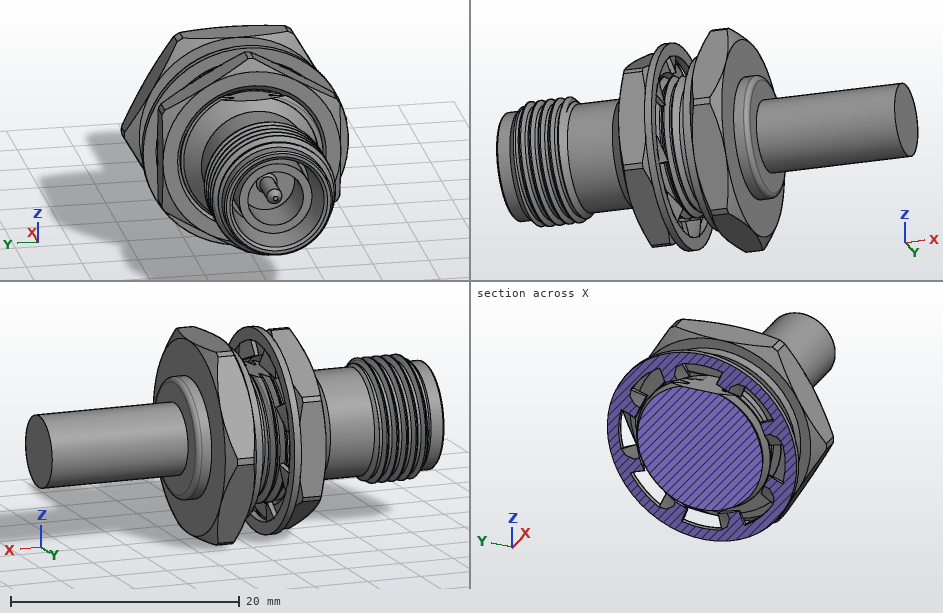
import cadquery as cq
import math


THREAD_PITCH = 0.907
THREAD_CREST = THREAD_PITCH / 8
FLANK_ANGLE = 30
CUTTER_MARGIN = 0.05
GROOVE_RUNOUT = 0.4

BARREL_R = 9.65 / 2
RIM_CHAMFER = 0.15
MATING_THREAD_START = 1.28
MATING_THREAD_END = 6.6
MATING_THREAD_R = 11.1 / 2
MATING_ROOT_R = 5.1
MATING_THREAD_PHASE = 2.24
PANEL_CONE_START = 10.75
PANEL_THREAD_R = 12.7 / 2
PANEL_ROOT_R = 5.8
PANEL_THREAD_PHASE = 12.12
RELIEF_START = 17.22
RELIEF_R = 11.26 / 2
SEAT_START = 18.15
FLANGE_START = 18.25
FLANGE_R = 15.55 / 2
HEX_START = 19.25
HEX_END = 22.17
HEX_FLATS = 17.46
HEX_CORNERS = 19.82
HEX_CHAMFER = 0.7
COLLAR_END = 23.54
COLLAR_R = 10.89 / 2
COLLAR_FILLET = 0.45
TUBE_R = 6.48 / 2
TOTAL_LENGTH = 36.32
PANEL_FLAT_HEIGHT = 5.58

MOUTH_EDGE_R = 8.75 / 2
MOUTH_R = 8.2 / 2
MOUTH_CHAMFER = 0.2
SOCKET_FLOOR_R = 7.24 / 2
SOCKET_DEPTH = 5.0
SLEEVE_R = 6.48 / 2
SLEEVE_BORE_R = 4.95 / 2
SLEEVE_TIP = 1.4

INSULATOR_START = 5.5
INSULATOR_END = 10.0
PIN_R = 1.35 / 2
PIN_SHOULDER_R = 1.85 / 2
PIN_TIP_R = 0.2
PIN_TIP = 1.4
PIN_TAPER = 0.6
PIN_SHOULDER_CHAMFER = PIN_SHOULDER_R - PIN_R

NUT_START = 12.36
NUT_END = 15.0
NUT_FLATS = 15.88
NUT_CORNERS = 18.06
NUT_CHAMFER = 0.45
NUT_MOUTH_R = 13.28 / 2
NUT_MOUTH_CHAMFER = NUT_MOUTH_R - PANEL_ROOT_R

WASHER_START = 15.17
WASHER_THICKNESS = 0.64
WASHER_R = 18.34 / 2
WASHER_RING_R = 16.05 / 2
TOOTH_TIP_R = 13.01 / 2
TOOTH_COUNT = 8
TOOTH_WIDTH = 2.4
TOOTH_THICKNESS = 0.45
TOOTH_TWIST = 18
TOOTH_OFFSET = 0.12
TOOTH_ROOT_OVERLAP = 0.4


def turned(points):
    """Revolve a closed (x, radius) outline around the X axis."""
    return cq.Workplane("XY").polyline(points).close().revolve(360, (0, 0, 0), (1, 0, 0))


def rod(radius, start, end):
    """Round bar along X."""
    return cq.Workplane("YZ").workplane(offset=start).circle(radius).extrude(end - start)


def thread_groove(root_radius, outer_radius, length):
    """Right-hand V groove around X, starting at X = 0 over -Z."""
    top_radius = outer_radius + CUTTER_MARGIN
    flank_slope = math.tan(math.radians(FLANK_ANGLE))
    half_width = (THREAD_PITCH - THREAD_CREST) / 2
    half_top = half_width + CUTTER_MARGIN * flank_slope
    half_root = half_width - (outer_radius - root_radius) * flank_slope
    helix = cq.Wire.makeHelix(THREAD_PITCH, length, root_radius)
    groove = (
        cq.Workplane("XZ")
        .polyline([
            (root_radius, -half_root),
            (top_radius, -half_top),
            (top_radius, half_top),
            (root_radius, half_root),
        ])
        .close()
        .sweep(cq.Workplane(obj=helix), isFrenet=True)
    )
    return groove.rotate((0, 0, 0), (0, 1, 0), 90)


def threaded_rod(root_radius, outer_radius, crest_position, start, end):
    """Plain-ended threaded bar along X; a thread crest passes over +Z at X = crest_position."""
    blank = rod(outer_radius, start, end)
    groove_start = start - GROOVE_RUNOUT
    groove = thread_groove(root_radius, outer_radius, end - start + 2 * GROOVE_RUNOUT)
    crest_turn = 360 * (groove_start - crest_position) / THREAD_PITCH
    return blank.cut(groove.translate((groove_start, 0, 0))).rotate((0, 0, 0), (1, 0, 0), crest_turn)


def hexagon(flats, corners, start, end, chamfer, corner_angle):
    """Hexagonal prism along X with clipped corners and both ends coned down to the flats."""
    prism = (
        cq.Workplane("YZ").workplane(offset=start)
        .polygon(6, flats / math.cos(math.pi / 6)).extrude(end - start)
        .rotate((0, 0, 0), (1, 0, 0), corner_angle)
    )
    envelope = turned([
        (start, 0),
        (start, flats / 2),
        (start + chamfer, corners / 2),
        (end - chamfer, corners / 2),
        (end, flats / 2),
        (end, 0),
    ])
    return prism.intersect(envelope)


def mating_section():
    """Front barrel with the coupling thread, whose ends are chamfered."""
    rise = MATING_THREAD_R - BARREL_R
    thread = threaded_rod(
        MATING_ROOT_R, MATING_THREAD_R, MATING_THREAD_PHASE, MATING_THREAD_START, MATING_THREAD_END
    )
    end_chamfers = turned([
        (MATING_THREAD_START, 0),
        (MATING_THREAD_START, BARREL_R),
        (MATING_THREAD_START + rise + CUTTER_MARGIN, MATING_THREAD_R + CUTTER_MARGIN),
        (MATING_THREAD_END - rise - CUTTER_MARGIN, MATING_THREAD_R + CUTTER_MARGIN),
        (MATING_THREAD_END, BARREL_R),
        (MATING_THREAD_END, 0),
    ])
    nose = rod(BARREL_R, 0, MATING_THREAD_START).faces("<X").edges().chamfer(RIM_CHAMFER)
    barrel = rod(BARREL_R, MATING_THREAD_END, PANEL_CONE_START)
    return thread.intersect(end_chamfers).union(nose).union(barrel)


def panel_section():
    """Panel thread between two cones, the relief behind it, and the thin seat at the flange."""
    front_rise = PANEL_THREAD_R - BARREL_R
    rear_rise = PANEL_THREAD_R - RELIEF_R
    thread = threaded_rod(
        PANEL_ROOT_R, PANEL_THREAD_R, PANEL_THREAD_PHASE, PANEL_CONE_START, RELIEF_START
    )
    end_cones = turned([
        (PANEL_CONE_START, 0),
        (PANEL_CONE_START, BARREL_R),
        (PANEL_CONE_START + front_rise + CUTTER_MARGIN, PANEL_THREAD_R + CUTTER_MARGIN),
        (RELIEF_START - rear_rise - CUTTER_MARGIN, PANEL_THREAD_R + CUTTER_MARGIN),
        (RELIEF_START, RELIEF_R),
        (RELIEF_START, 0),
    ])
    flat = (
        cq.Workplane("XY").workplane(offset=PANEL_FLAT_HEIGHT)
        .rect(2 * FLANGE_START, 2 * PANEL_THREAD_R).extrude(PANEL_THREAD_R)
    )
    return (
        thread.intersect(end_cones)
        .union(rod(RELIEF_R, RELIEF_START, SEAT_START))
        .union(rod(PANEL_THREAD_R, SEAT_START, FLANGE_START))
        .cut(flat)
    )


def rear_section():
    """Flange, hexagon, collar and cable tube."""
    collar = rod(COLLAR_R, HEX_END, COLLAR_END).faces(">X").edges().fillet(COLLAR_FILLET)
    return (
        rod(FLANGE_R, FLANGE_START, HEX_START)
        .union(hexagon(HEX_FLATS, HEX_CORNERS, HEX_START, HEX_END, HEX_CHAMFER, 0))
        .union(collar)
        .union(rod(TUBE_R, COLLAR_END, TOTAL_LENGTH))
    )


def make_housing():
    tapered_socket = turned([
        (0, 0),
        (0, MOUTH_EDGE_R),
        (MOUTH_CHAMFER, MOUTH_R),
        (SOCKET_DEPTH, SOCKET_FLOOR_R),
        (SOCKET_DEPTH, 0),
    ])
    sleeve = rod(SLEEVE_R, SLEEVE_TIP, SOCKET_DEPTH)
    return (
        mating_section()
        .cut(tapered_socket)
        .union(sleeve)
        .union(panel_section())
        .union(rear_section())
        .cut(rod(SLEEVE_BORE_R, SLEEVE_TIP, INSULATOR_END))
    )


def make_pin():
    shoulder_start = INSULATOR_START - PIN_SHOULDER_CHAMFER
    return turned([
        (PIN_TIP, 0),
        (PIN_TIP, PIN_TIP_R),
        (PIN_TIP + PIN_TAPER, PIN_R),
        (shoulder_start, PIN_R),
        (INSULATOR_START, PIN_SHOULDER_R),
        (INSULATOR_END, PIN_SHOULDER_R),
        (INSULATOR_END, 0),
    ])


def make_insulator():
    disc = rod(SLEEVE_BORE_R, INSULATOR_START, INSULATOR_END)
    return disc.cut(rod(PIN_SHOULDER_R, INSULATOR_START, INSULATOR_END))


def make_nut():
    blank = hexagon(NUT_FLATS, NUT_CORNERS, NUT_START, NUT_END, NUT_CHAMFER, 90)
    mouths = turned([
        (NUT_START, 0),
        (NUT_START, NUT_MOUTH_R),
        (NUT_START + NUT_MOUTH_CHAMFER, PANEL_ROOT_R),
        (NUT_END - NUT_MOUTH_CHAMFER, PANEL_ROOT_R),
        (NUT_END, NUT_MOUTH_R),
        (NUT_END, 0),
    ])
    tap = threaded_rod(
        PANEL_ROOT_R, PANEL_THREAD_R, PANEL_THREAD_PHASE, NUT_START - THREAD_PITCH, NUT_END + THREAD_PITCH
    )
    return blank.cut(tap).cut(mouths)


def make_washer():
    """Flat ring with inner teeth, each twisted about its own radial centre line."""
    washer_end = WASHER_START + WASHER_THICKNESS
    washer = rod(WASHER_R, WASHER_START, washer_end).cut(rod(WASHER_RING_R, WASHER_START, washer_end))
    tooth_x = (WASHER_START + washer_end) / 2
    tooth = (
        cq.Workplane("XY").workplane(offset=TOOTH_TIP_R)
        .center(TOOTH_OFFSET, 0)
        .transformed(rotate=(0, 0, TOOTH_TWIST))
        .rect(TOOTH_THICKNESS, TOOTH_WIDTH)
        .transformed(rotate=(0, 0, -TOOTH_TWIST))
        .workplane(offset=WASHER_RING_R + TOOTH_ROOT_OVERLAP - TOOTH_TIP_R)
        .center(-TOOTH_OFFSET, 0)
        .rect(TOOTH_THICKNESS, TOOTH_WIDTH)
        .loft(ruled=True)
        .translate((tooth_x, 0, 0))
    )
    for index in range(TOOTH_COUNT):
        angle = 360 / TOOTH_COUNT * (index + 0.5)
        washer = washer.union(tooth.rotate((0, 0, 0), (1, 0, 0), angle))
    return washer


housing = make_housing()
insulator = make_insulator()
pin = make_pin()
nut = make_nut()
washer = make_washer()

result = cq.Compound.makeCompound([
    housing.val(),
    insulator.val(),
    pin.val(),
    nut.val(),
    washer.val(),
])